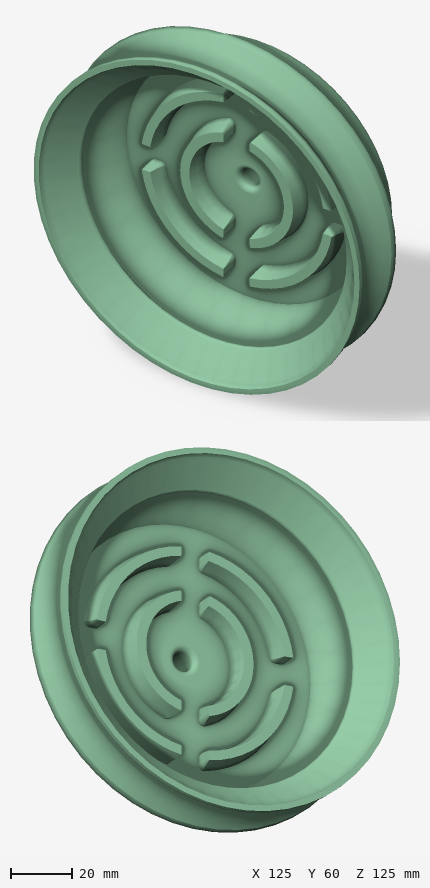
import cadquery as cq
import math


lip_diameter = 125.0
fold_diameter = 124.5
lip_land = 1.5
lip_round_radius = 62.0
lip_height = 2.8
groove_radius = 54.5
groove_round_depth = 0.4
groove_front = 10.8
groove_back = 12.6
fold_front = 20.1
fold_back = 23.0
shoulder_radius = 51.9
shoulder_y = 32.8
collar_radius = 51.0
collar_start = 35.6
cup_depth = 40.0
back_fillet = 1.9

lip_bore_diameter = 121.0
lip_bore_round = 0.6
lip_bore_depth = 1.5
throat_diameter = 102.0
throat_round = 0.6
throat_width = 2.5
floor_radius = 46.6
floor_y = 32.0

rib_height = 7.2
rib_gap = 10.0
rib_draft_inset = 1.4
rib_corner_radius = 2.0
inner_rib_radii = (16.8, 23.0)
outer_rib_radii = (32.1, 38.1)

hex_across_corners = 22.5
hex_length = 10.8
hex_chamfer_diameter = 19.0
neck_diameter = 17.9
washer_diameter = 20.5
washer_start = 51.5
washer_thickness = 2.1
spigot_diameter = 16.6
spigot_start = 54.1
spigot_chamfer = 0.8
total_depth = 60.0

passage_diameter = 7.0
passage_mouth_round = 2.0


def cylinder(diameter, start, end):
    """Cylinder about the Y axis between two Y positions."""
    sketch = cq.Workplane("XZ", origin=(0, start, 0)).circle(diameter / 2)
    return sketch.extrude(start - end)


def revolve_about_y(outline):
    return outline.close().revolve(360, (0, 0, 0), (0, 1, 0))


def blend_middle(land, cone):
    """Middle of a round that leaves a cylinder at land and runs out onto a cone."""
    return (land[0] + (cone[0] - land[0]) / 4, (land[1] + cone[1]) / 2)


def make_bellows():
    lip_radius = lip_diameter / 2
    fold_radius = fold_diameter / 2
    lip_edge = (lip_radius, lip_land)
    lip_cone = (lip_round_radius, lip_height)
    shoulder = (shoulder_radius, shoulder_y)
    collar = (collar_radius, collar_start)
    groove_bottom = (groove_radius - groove_round_depth, (groove_front + groove_back) / 2)
    outside = (
        cq.Workplane("XY")
        .lineTo(lip_radius, 0)
        .lineTo(*lip_edge)
        .threePointArc(blend_middle(lip_edge, lip_cone), lip_cone)
        .lineTo(groove_radius, groove_front)
        .threePointArc(groove_bottom, (groove_radius, groove_back))
        .lineTo(fold_radius, fold_front)
        .threePointArc((lip_radius, (fold_front + fold_back) / 2), (fold_radius, fold_back))
        .lineTo(*shoulder)
        .threePointArc(blend_middle(collar, shoulder), collar)
        .lineTo(collar_radius, cup_depth)
        .lineTo(0, cup_depth)
    )
    body = revolve_about_y(outside).faces(">Y").edges().fillet(back_fillet)

    bore_radius = lip_bore_diameter / 2
    throat_radius = throat_diameter / 2
    bore_edge = (bore_radius, 0)
    bore_cone = (bore_radius - lip_bore_round, lip_bore_depth)
    throat_edge_radius = throat_radius + throat_round
    throat_front = lip_bore_depth + bore_cone[0] - throat_edge_radius
    throat_back = throat_front + throat_width
    throat_crest = (throat_radius, throat_front + throat_width / 2)
    pocket_radius = (throat_edge_radius - throat_back + floor_radius + floor_y) / 2
    pocket_y = pocket_radius - throat_edge_radius + throat_back
    inside = (
        cq.Workplane("XY")
        .lineTo(bore_radius, 0)
        .threePointArc(blend_middle(bore_edge, bore_cone), bore_cone)
        .lineTo(throat_edge_radius, throat_front)
        .threePointArc(throat_crest, (throat_edge_radius, throat_back))
        .lineTo(pocket_radius, pocket_y)
        .lineTo(floor_radius, floor_y)
        .lineTo(0, floor_y)
    )
    return body.cut(revolve_about_y(inside))


def make_rib_ring(radii, split_across):
    """Drafted ring cut into round-cornered ribs by a gap along Z and, if split_across, along X."""
    inner, outer = radii
    crest_y = floor_y - rib_height
    ring = revolve_about_y(
        cq.Workplane("XY")
        .moveTo(inner, floor_y)
        .lineTo(inner + rib_draft_inset, crest_y)
        .lineTo(outer - rib_draft_inset, crest_y)
        .lineTo(outer, floor_y)
    )
    footprint = (
        cq.Workplane("XZ", origin=(0, floor_y, 0))
        .circle(outer)
        .circle(inner)
        .extrude(rib_height)
    )
    middle_y = (floor_y + crest_y) / 2
    gap = cq.Workplane("XY").box(rib_gap, rib_height, lip_diameter)
    footprint = footprint.cut(gap.translate((0, middle_y, 0)))
    if split_across:
        cross_gap = cq.Workplane("XY").box(lip_diameter, rib_height, rib_gap)
        footprint = footprint.cut(cross_gap.translate((0, middle_y, 0)))
    rounded_footprint = footprint.edges("|Y").fillet(rib_corner_radius)
    return ring.intersect(rounded_footprint)


def make_fitting():
    hex_end = cup_depth + hex_length
    hexagon = (
        cq.Workplane("XZ", origin=(0, cup_depth, 0))
        .polygon(6, hex_across_corners)
        .extrude(-hex_length)
    )
    chamfer_radius = hex_chamfer_diameter / 2
    corner_radius = hex_across_corners / 2
    chamfer_drop = (corner_radius - chamfer_radius) * math.tan(math.radians(30))
    envelope = revolve_about_y(
        cq.Workplane("XY")
        .moveTo(0, cup_depth)
        .lineTo(corner_radius, cup_depth)
        .lineTo(corner_radius, hex_end - chamfer_drop)
        .lineTo(chamfer_radius, hex_end)
        .lineTo(0, hex_end)
    )
    spigot = cylinder(spigot_diameter, spigot_start, total_depth)
    spigot = spigot.faces(">Y").edges().chamfer(spigot_chamfer)
    return (
        hexagon.intersect(envelope)
        .union(cylinder(neck_diameter, hex_end, spigot_start))
        .union(cylinder(washer_diameter, washer_start, washer_start + washer_thickness))
        .union(spigot)
    )


def make_passage():
    """Through bore whose mouth flares into the cup floor with a round."""
    bore_radius = passage_diameter / 2
    mouth_radius = bore_radius + passage_mouth_round
    arc_offset = passage_mouth_round * (1 - math.sqrt(0.5))
    return revolve_about_y(
        cq.Workplane("XY")
        .moveTo(0, floor_y)
        .lineTo(mouth_radius, floor_y)
        .threePointArc(
            (bore_radius + arc_offset, floor_y + arc_offset),
            (bore_radius, floor_y + passage_mouth_round),
        )
        .lineTo(bore_radius, total_depth)
        .lineTo(0, total_depth)
    )


result = (
    make_bellows()
    .union(make_rib_ring(inner_rib_radii, split_across=False))
    .union(make_rib_ring(outer_rib_radii, split_across=True))
    .union(make_fitting())
    .cut(make_passage())
)